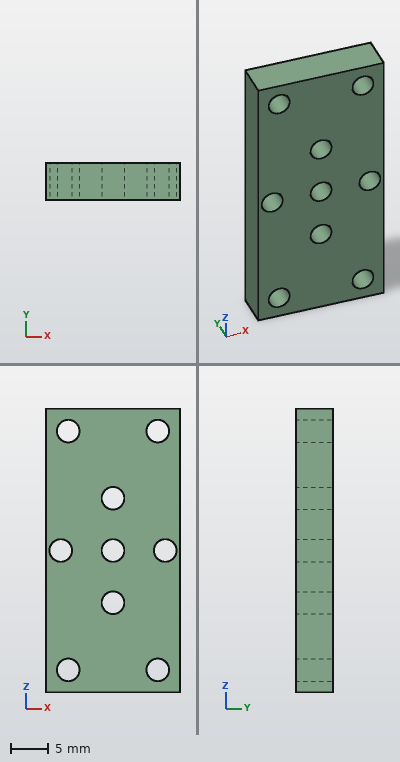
import cadquery as cq

width = 18.0
thickness = 5.0
height = 38.0

hole_diameter = 3.0
corner_edge_distance = 3.0
cross_radius = 7.0


def corner_hole_centres():
    """Centres (x, z) of the four holes near the plate corners."""
    x = width / 2 - corner_edge_distance
    z = height / 2 - corner_edge_distance
    return [(-x, -z), (x, -z), (-x, z), (x, z)]


def cross_hole_centres():
    """Centres (x, z) of the centre hole and the four holes around it."""
    r = cross_radius
    return [(0, 0), (-r, 0), (r, 0), (0, -r), (0, r)]


def make_plate():
    """Rectangular plate centred on the origin, thin along Y."""
    return cq.Workplane("XY").box(width, thickness, height)


def drill_through(plate, centres):
    """Drill straight holes through the thickness, along Y."""
    drills = (
        cq.Workplane("XZ")
        .pushPoints(centres)
        .circle(hole_diameter / 2)
        .extrude(thickness, both=True)
    )
    return plate.cut(drills)


result = make_plate()
result = drill_through(result, corner_hole_centres())
result = drill_through(result, cross_hole_centres())